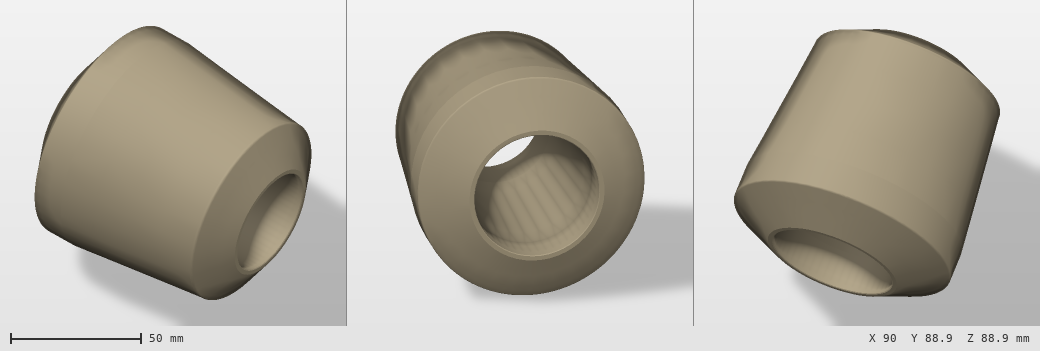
import cadquery as cq
import math

length = 90.0
large_outer_diameter = 88.9
small_outer_diameter = 76.1
large_bore_diameter = 48.9
small_bore_diameter = 41.1

root_face = 2.0
bevel_angle = math.radians(30.0)
edge_radius = 1.0
bore_chamfer = 0.3

large_outer_straight = 23.0
small_outer_straight = 10.0
large_bore_straight = 15.0
small_bore_straight = 18.0

large_end_x = -length / 2
small_end_x = length / 2

large_outer_radius = large_outer_diameter / 2
small_outer_radius = small_outer_diameter / 2
large_bore_radius = large_bore_diameter / 2
small_bore_radius = small_bore_diameter / 2
large_root_radius = large_bore_radius + root_face
small_root_radius = small_bore_radius + root_face

large_bevel_length = (large_outer_radius - large_root_radius) * math.tan(bevel_angle)
small_bevel_length = (small_outer_radius - small_root_radius) * math.tan(bevel_angle)
large_bevel_edge_x = large_end_x + large_bevel_length
small_bevel_edge_x = small_end_x - small_bevel_length


def revolve_about_x(profile_points):
    """Revolve a closed outline of (x, radius) points about the X axis."""
    outline = cq.Workplane("XZ").polyline(profile_points).close()
    return outline.revolve(360, (0, 0, 0), (1, 0, 0))


def make_body():
    """Solid outer shape: bevel, cylinder, taper, short cylinder, bevel."""
    return revolve_about_x([
        (large_end_x, 0),
        (large_end_x, large_root_radius),
        (large_bevel_edge_x, large_outer_radius),
        (large_end_x + large_outer_straight, large_outer_radius),
        (small_end_x - small_outer_straight, small_outer_radius),
        (small_bevel_edge_x, small_outer_radius),
        (small_end_x, small_root_radius),
        (small_end_x, 0),
    ])


def round_bevel_edge(body, edge_x):
    """Round the circular edge where a bevel meets the outer surface."""
    nearest = cq.selectors.NearestToPointSelector((edge_x, 0, 0))
    return body.edges("%CIRCLE").edges(nearest).fillet(edge_radius)


def make_bore():
    """Through bore: large cylinder, cone and small cylinder, chamfered at both mouths."""
    return revolve_about_x([
        (large_end_x, 0),
        (large_end_x, large_bore_radius + bore_chamfer),
        (large_end_x + bore_chamfer, large_bore_radius),
        (large_end_x + large_bore_straight, large_bore_radius),
        (small_end_x - small_bore_straight, small_bore_radius),
        (small_end_x - bore_chamfer, small_bore_radius),
        (small_end_x, small_bore_radius + bore_chamfer),
        (small_end_x, 0),
    ])


body = make_body()
body = round_bevel_edge(body, large_bevel_edge_x)
body = round_bevel_edge(body, small_bevel_edge_x)
result = body.cut(make_bore())